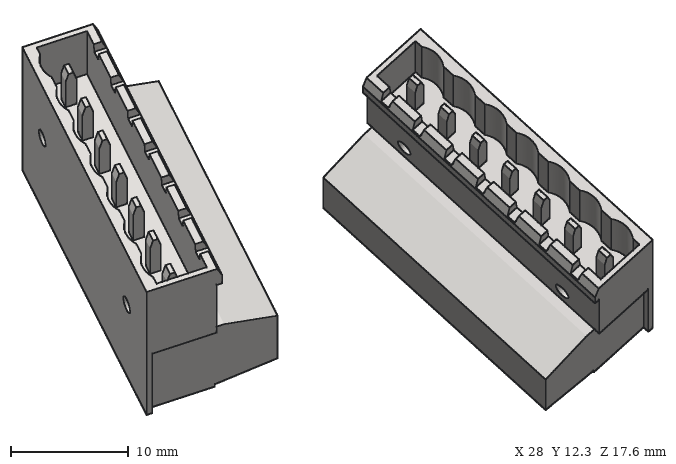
import cadquery as cq

WIDTH = 28.0
DEPTH = 12.3
HEIGHT = 17.6

CONTACT_COUNT = 7
PITCH = 3.8
CONTACT_XS = [(i - (CONTACT_COUNT - 1) / 2) * PITCH for i in range(CONTACT_COUNT)]

SHROUD_DEPTH = 6.45
LIP_DEPTH = 6.95
LIP_BOTTOM_Z = 15.3
LIP_BEVEL_Z = 16.51
LIP_TOP_DEPTH = 6.5

BLOCK_INSET = 0.6
BLOCK_TOP_Z = 8.5
FRONT_PLATE = 0.53
BLOCK_SLOPE_Y = 7.35
BLOCK_REAR_TOP_Z = 7.22
BLOCK_REAR_BOTTOM_Z = 1.12
FOOT_DEPTH = 6.52
FOOT_HEIGHT = 0.34

HOLE_DIAMETER = 1.5
HOLE_SPACING = 5 * PITCH
HOLE_Z = 10.2

SIDE_WALL = 0.5
FRONT_WALL = 1.12
CAVITY_BACK_Y = 5.75
CAVITY_FLOOR_Z = HOLE_Z + HOLE_DIAMETER / 2 + SIDE_WALL
SCALLOP_HALF_WIDTH = 1.32
SCALLOP_DEPTH = 0.42

NOTCH_FLOOR_Z = 16.68
NOTCH_TOP_WIDTH = 1.12
NOTCH_FLOOR_WIDTH = 0.87

PIN_SIZE = 1.0
PIN_CENTER_Y = 3.22
PIN_TOP_Z = 16.07
PIN_TIP_THICKNESS = 0.45
PIN_BEVEL_HEIGHT = 1.0


def extrude_along_x(profile_yz, width):
    """Extrude a closed (Y, Z) outline symmetrically about X = 0."""
    return cq.Workplane("YZ").polyline(profile_yz).close().extrude(width / 2, both=True)


def make_shroud():
    """Upper housing together with the full-width front plate."""
    return extrude_along_x(
        [
            (0, 0),
            (FRONT_PLATE, 0),
            (FRONT_PLATE, BLOCK_TOP_Z),
            (SHROUD_DEPTH, BLOCK_TOP_Z),
            (SHROUD_DEPTH, LIP_BOTTOM_Z),
            (LIP_DEPTH, LIP_BOTTOM_Z),
            (LIP_DEPTH, LIP_BEVEL_Z),
            (LIP_TOP_DEPTH, HEIGHT),
            (0, HEIGHT),
        ],
        WIDTH,
    )


def make_terminal_block():
    """Narrower lower block with a rear nose that tapers above and below."""
    return extrude_along_x(
        [
            (0, 0),
            (FOOT_DEPTH, 0),
            (FOOT_DEPTH, FOOT_HEIGHT),
            (DEPTH, BLOCK_REAR_BOTTOM_Z),
            (DEPTH, BLOCK_REAR_TOP_Z),
            (BLOCK_SLOPE_Y, BLOCK_TOP_Z),
            (0, BLOCK_TOP_Z),
        ],
        WIDTH - 2 * BLOCK_INSET,
    )


def make_cavity():
    """Cavity volume: a box whose front side bulges forward at each contact."""
    half_width = WIDTH / 2 - SIDE_WALL
    outline = cq.Workplane("XY").workplane(offset=CAVITY_FLOOR_Z).moveTo(-half_width, FRONT_WALL)
    for x in CONTACT_XS:
        outline = outline.lineTo(x - SCALLOP_HALF_WIDTH, FRONT_WALL).threePointArc(
            (x, FRONT_WALL - SCALLOP_DEPTH), (x + SCALLOP_HALF_WIDTH, FRONT_WALL)
        )
    outline = outline.lineTo(half_width, FRONT_WALL)
    outline = outline.lineTo(half_width, CAVITY_BACK_Y).lineTo(-half_width, CAVITY_BACK_Y).close()
    return outline.extrude(HEIGHT - CAVITY_FLOOR_Z)


def make_notch(x):
    """Notch volume, running from the cavity out through the rear lip."""
    return (
        cq.Workplane("XZ", origin=(x, LIP_DEPTH, 0))
        .polyline(
            [
                (-NOTCH_FLOOR_WIDTH / 2, NOTCH_FLOOR_Z),
                (NOTCH_FLOOR_WIDTH / 2, NOTCH_FLOOR_Z),
                (NOTCH_TOP_WIDTH / 2, HEIGHT),
                (-NOTCH_TOP_WIDTH / 2, HEIGHT),
            ]
        )
        .close()
        .extrude(LIP_DEPTH - CAVITY_BACK_Y)
    )


def make_pin(x):
    """Contact pin standing up from the solid base, bevelled at front and back of its tip."""
    half = PIN_SIZE / 2
    half_tip = PIN_TIP_THICKNESS / 2
    shoulder_z = PIN_TOP_Z - PIN_BEVEL_HEIGHT
    pin = extrude_along_x(
        [
            (-half, BLOCK_TOP_Z),
            (half, BLOCK_TOP_Z),
            (half, shoulder_z),
            (half_tip, PIN_TOP_Z),
            (-half_tip, PIN_TOP_Z),
            (-half, shoulder_z),
        ],
        PIN_SIZE,
    )
    return pin.translate((x, PIN_CENTER_Y, 0))


def make_holes():
    """Two cylinders that run from the front face to beyond the rear of the shroud."""
    return (
        cq.Workplane("XZ", origin=(0, LIP_DEPTH, 0))
        .pushPoints([(-HOLE_SPACING / 2, HOLE_Z), (HOLE_SPACING / 2, HOLE_Z)])
        .circle(HOLE_DIAMETER / 2)
        .extrude(LIP_DEPTH)
    )


result = make_shroud().union(make_terminal_block())
result = result.cut(make_cavity()).cut(make_holes())
for contact_x in CONTACT_XS:
    result = result.cut(make_notch(contact_x)).union(make_pin(contact_x))